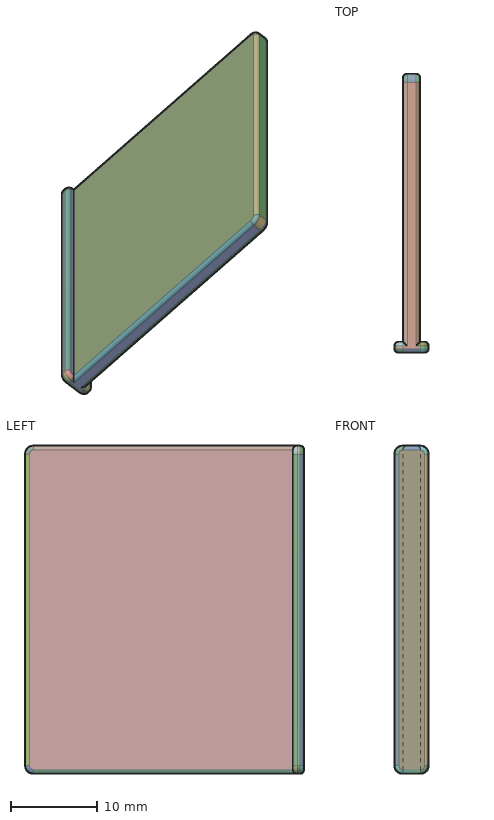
import cadquery as cq

height = 38.0
depth = 32.3
flange_width = 4.0

plate_thickness = 2.0
flange_thickness = 1.3

corner_radius = 1.0
edge_radius = 0.5

front_y = -depth / 2
back_y = depth / 2


def make_flange():
    """Upright bar with rounded corners and rounded front and back rims."""
    return (
        cq.Workplane("XY")
        .box(flange_width, flange_thickness, height)
        .edges("|Y").fillet(corner_radius)
        .faces("<Y or >Y").edges().fillet(edge_radius)
        .translate((0, front_y + flange_thickness / 2, 0))
    )


def make_plate():
    """Thin panel with rounded far corners; its near end lies inside the flange."""
    near_y = front_y + edge_radius
    length = back_y - near_y
    return (
        cq.Workplane("XY")
        .box(plate_thickness, length, height)
        .edges("|X and >Y").fillet(corner_radius)
        .faces("<X or >X").edges("not <Y").fillet(edge_radius)
        .translate((0, near_y + length / 2, 0))
    )


result = make_flange().union(make_plate())